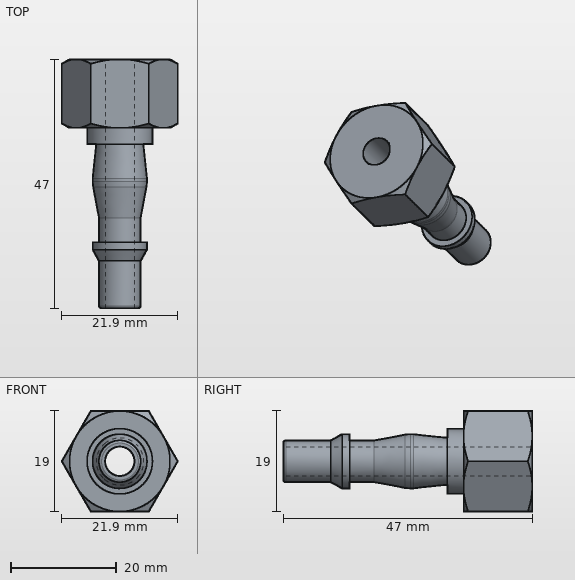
import cadquery as cq
import math

TOTAL_LENGTH = 47.0

ACROSS_FLATS = 19.0
NUT_LENGTH = 12.95
NUT_CHAMFER_ANGLE = 30.0

COLLAR_DIAMETER = 12.35
NECK_DIAMETER = 8.95
BULGE_DIAMETER = 10.3
BULGE_EDGE_DIAMETER = 10.1
PLUG_DIAMETER = 7.9
BORE_DIAMETER = 5.5

TIP_LENGTH = 8.95
FLANGE_CONE_LENGTH = 2.15
FLANGE_LENGTH = 1.4
GROOVE_LENGTH = 4.55
FRONT_TAPER_LENGTH = 5.88
BULGE_ROUND_LENGTH = 1.05
BULGE_BAND_LENGTH = 0.55
COLLAR_LENGTH = 3.05
TIP_ROUND = 0.45

flange_cone_start = TIP_LENGTH
flange_start = flange_cone_start + FLANGE_CONE_LENGTH
flange_end = flange_start + FLANGE_LENGTH
taper_start = flange_end + GROOVE_LENGTH
bulge_start = taper_start + FRONT_TAPER_LENGTH
bulge_band_start = bulge_start + BULGE_ROUND_LENGTH
bulge_end = bulge_band_start + BULGE_BAND_LENGTH
nut_start = TOTAL_LENGTH - NUT_LENGTH
collar_start = nut_start - COLLAR_LENGTH


def make_stem():
    """Revolve the plug, bulge and collar about Y."""
    plug_radius = PLUG_DIAMETER / 2
    bulge_radius = BULGE_DIAMETER / 2
    bulge_edge_radius = BULGE_EDGE_DIAMETER / 2
    collar_radius = COLLAR_DIAMETER / 2
    round_offset = TIP_ROUND * (1 - math.sqrt(0.5))
    profile = (
        cq.Workplane("XY")
        .lineTo(plug_radius - TIP_ROUND, 0)
        .threePointArc((plug_radius - round_offset, round_offset), (plug_radius, TIP_ROUND))
        .lineTo(plug_radius, flange_cone_start)
        .lineTo(bulge_radius, flange_start)
        .lineTo(bulge_radius, flange_end)
        .lineTo(plug_radius, flange_end)
        .lineTo(plug_radius, taper_start)
        .lineTo(bulge_edge_radius, bulge_start)
        .tangentArcPoint((bulge_radius, bulge_band_start), relative=False)
        .lineTo(bulge_radius, bulge_end)
        .lineTo(NECK_DIAMETER / 2, collar_start)
        .lineTo(collar_radius, collar_start)
        .lineTo(collar_radius, nut_start)
        .lineTo(0, nut_start)
        .close()
    )
    return profile.revolve(360, (0, 0, 0), (0, 1, 0))


def make_nut():
    """Hexagonal prism whose corners are cut by a cone at both ends."""
    across_corners = ACROSS_FLATS / math.cos(math.radians(30))
    corner_radius = across_corners / 2
    flat_radius = ACROSS_FLATS / 2
    chamfer_length = (corner_radius - flat_radius) * math.tan(math.radians(NUT_CHAMFER_ANGLE))
    prism = (
        cq.Workplane("XZ", origin=(0, nut_start, 0))
        .polygon(6, across_corners)
        .extrude(-NUT_LENGTH)
    )
    envelope = (
        cq.Workplane("XY")
        .moveTo(0, nut_start)
        .lineTo(flat_radius, nut_start)
        .lineTo(corner_radius, nut_start + chamfer_length)
        .lineTo(corner_radius, TOTAL_LENGTH - chamfer_length)
        .lineTo(flat_radius, TOTAL_LENGTH)
        .lineTo(0, TOTAL_LENGTH)
        .close()
        .revolve(360, (0, 0, 0), (0, 1, 0))
    )
    return prism.intersect(envelope)


bore = cq.Workplane("XZ").circle(BORE_DIAMETER / 2).extrude(-TOTAL_LENGTH)

centred_start = (0, -TOTAL_LENGTH / 2, 0)
result = make_stem().union(make_nut()).cut(bore).translate(centred_start)